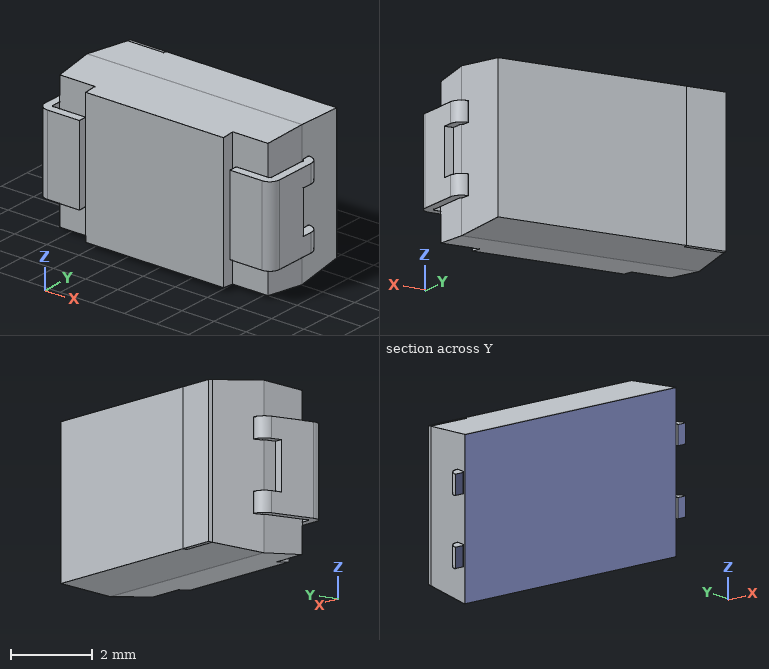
import cadquery as cq
import math

overall_length = 7.3

package_length = 6.7
package_width = 4.3
top_height = 1.54
base_depth = 1.56
draft_angle = 5.0
standoff_length = 4.29
standoff_height = 0.36

band_depth = 0.11
band_inner_x = -2.1

lead_thickness = 0.25
lead_width = 2.4
lead_outer_radius = 0.31
lead_inner_radius = lead_outer_radius - lead_thickness
lead_top_y = 0.285
foot_tip_x = 2.34
notch_width = 1.3
notch_bottom_y = -0.315


def tapered_half(height, direction):
    """Half of the package, drafted inward from the parting plane along +Y or -Y."""
    plane = cq.Plane(origin=(0, 0, 0), xDir=(1, 0, 0), normal=(0, direction, 0))
    return cq.Workplane(plane).rect(package_length, package_width).extrude(height, taper=draft_angle)


def make_envelope():
    """Whole package, with the end reliefs that leave the central standoff."""
    envelope = tapered_half(top_height, 1).union(tapered_half(base_depth, -1))
    relief_length = (overall_length - standoff_length) / 2
    relief_centre_x = (overall_length + standoff_length) / 4
    for side in (-1, 1):
        relief = cq.Workplane("XY").box(relief_length, standoff_height, package_width).translate(
            (side * relief_centre_x, standoff_height / 2 - base_depth, 0)
        )
        envelope = envelope.cut(relief)
    return envelope


def make_band(envelope):
    """Inlaid band that follows the drafted sides of the package."""
    band_reach = overall_length / 2 + band_inner_x
    slab = cq.Workplane("XY").box(band_reach, band_depth, package_width).translate(
        (band_inner_x - band_reach / 2, top_height - band_depth / 2, 0)
    )
    return envelope.intersect(slab)


def make_lead(side, envelope):
    """Lead bent around one end of the package, its tabs ending on the package side."""
    outer_x = overall_length / 2
    inner_x = outer_x - lead_thickness
    bend_x = outer_x - lead_outer_radius
    upper_bend_y = lead_top_y - lead_outer_radius
    lower_bend_y = lead_outer_radius - base_depth
    foot_top_y = lead_thickness - base_depth
    tab_bottom_y = lead_top_y - lead_thickness
    tab_end_x = package_length / 2 - lead_top_y * math.tan(math.radians(draft_angle))

    def bend_middle(radius, centre_y, direction):
        offset = radius * math.sqrt(0.5)
        return (bend_x + offset, centre_y + direction * offset)

    lead = (
        cq.Workplane("XY")
        .moveTo(foot_tip_x, -base_depth)
        .lineTo(bend_x, -base_depth)
        .threePointArc(bend_middle(lead_outer_radius, lower_bend_y, -1), (outer_x, lower_bend_y))
        .lineTo(outer_x, upper_bend_y)
        .threePointArc(bend_middle(lead_outer_radius, upper_bend_y, 1), (bend_x, lead_top_y))
        .lineTo(tab_end_x, lead_top_y)
        .lineTo(tab_end_x, tab_bottom_y)
        .lineTo(bend_x, tab_bottom_y)
        .threePointArc(bend_middle(lead_inner_radius, upper_bend_y, 1), (inner_x, upper_bend_y))
        .lineTo(inner_x, lower_bend_y)
        .threePointArc(bend_middle(lead_inner_radius, lower_bend_y, -1), (bend_x, foot_top_y))
        .lineTo(foot_tip_x, foot_top_y)
        .close()
        .extrude(lead_width / 2, both=True)
    )
    notch_height = lead_top_y - notch_bottom_y
    notch = cq.Workplane("XY").box(outer_x, notch_height, notch_width).translate(
        (outer_x, notch_bottom_y + notch_height / 2, 0)
    )
    lead = lead.cut(notch)
    if side < 0:
        lead = lead.mirror("YZ")
    return lead.cut(envelope)


envelope = make_envelope()
band = make_band(envelope)
package = envelope.cut(band)
leads = [make_lead(side, envelope) for side in (-1, 1)]

bodies = [package, band, *leads]
result = cq.Compound.makeCompound([body.solids().val() for body in bodies])